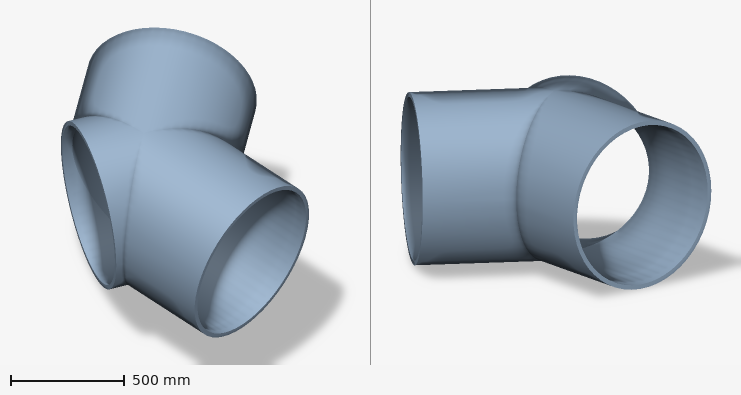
import cadquery as cq
import math

overall_width = 1481.0
outer_diameter = 763.0
bore_diameter = 723.0
inlet_length = 255.0
branch_spacing = 120.0

inlet_angle = -90.0
right_angle = inlet_angle + branch_spacing
left_angle = right_angle + branch_spacing

outer_radius = outer_diameter / 2
arm_tilt = math.radians(right_angle)
arm_length = (overall_width / 2 - outer_radius * math.sin(arm_tilt)) / math.cos(arm_tilt)


def mitred_pipe(length, angle):
    """Pipe from the origin, cut along the two planes shared with its neighbours."""
    pipe = (
        cq.Workplane("YZ")
        .circle(outer_radius)
        .circle(bore_diameter / 2)
        .extrude(length)
    )
    wedge_half_width = length * math.tan(math.radians(branch_spacing / 2))
    wedge = (
        cq.Workplane("XY")
        .polyline([(0, 0), (length, -wedge_half_width), (length, wedge_half_width)])
        .close()
        .extrude(outer_diameter, both=True)
    )
    return pipe.intersect(wedge).rotate((0, 0, 0), (0, 0, 1), angle)


inlet = mitred_pipe(inlet_length, inlet_angle)
right_arm = mitred_pipe(arm_length, right_angle)
left_arm = mitred_pipe(arm_length, left_angle)

result = inlet.union(right_arm).union(left_arm)